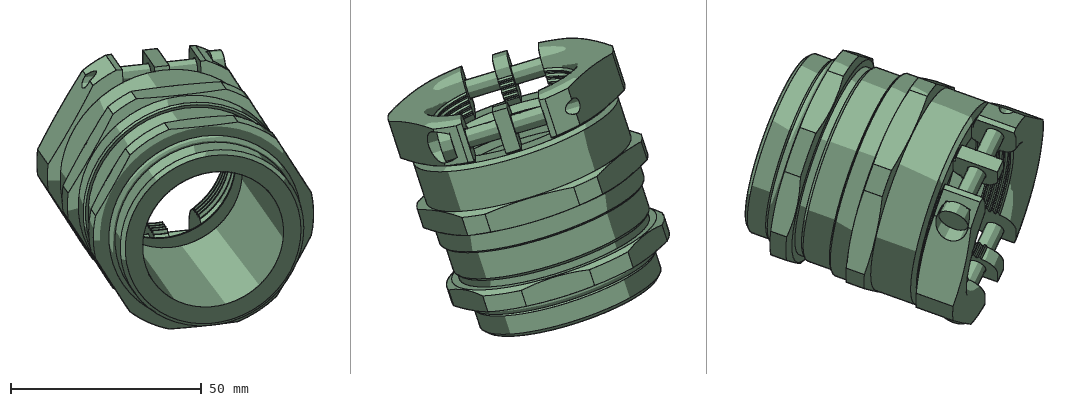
import cadquery as cq
import math


across_flats = 57.0
turned_corner_d = 62.0
nipple_corner_d = 60.0
hex_face_d = 56.5
clamp_back_face_d = 54.9
shallow_chamfer = 15
steep_chamfer = 30

clamp_length = 12.15
slot_depth = 12.7
cap_hex_start = 25.2
cap_hex_end = 31.85
cap_end = 37.2

cap_neck_d = 52.5
collar_d = 56.5
collar_front_chamfer = 1.1
collar_end_chamfer = 0.5

mouth_d = 47.8
mouth_radius = 4.65
tooth_root_d = 39.75
tooth_tip_d = 38.0
tooth_count = 4
tooth_pitch = 1.55
tooth_flat = 0.4
teeth_start = mouth_radius
funnel_d = 42.1
lip_d = 38.5
lip_start = 14.55
lip_end = 15.05

slot_width = 21.25
fin_width = 4.0

nipple_start = 21.65
nipple_bore_d = 38.4
body_d = 54.05
relief_start = 45.7
relief_d = 52.5
nipple_hex_start = 47.6
nipple_hex_end = 53.6
ring_groove_d = 47.8
thread_d = 50.0
thread_start = 56.4
thread_end_chamfer = 1.05
overall_length = 62.7

ring_outer_d = 52.3
ring_section_d = (ring_outer_d - ring_groove_d) / 2

screw_x = 6.0
screw_z = 24.3
shank_d = 5.0
shank_end_y = -14.4
head_d = 8.3
head_seat_y = 14.6
head_end_y = 17.9
head_pocket_d = 8.9
lug_hole_d = 5.5
fin_hole_d = 5.3
exit_hole_d = 4.15


def revolve_about_x(profile):
    """Revolve a closed XY profile, drawn as (X, radius), a full turn about X."""
    return profile.close().revolve(360, (0, 0, 0), (1, 0, 0))


def cylinder_x(diameter, start, end):
    return cq.Workplane("YZ", origin=(start, 0, 0)).circle(diameter / 2).extrude(end - start)


def cylinder_y(diameter, z, start, end):
    """Cylinder on a clamp screw axis, from Y = start up to Y = end."""
    plane = cq.Plane(origin=(screw_x, start, z), xDir=(1, 0, 0), normal=(0, 1, 0))
    return cq.Workplane(plane).circle(diameter / 2).extrude(end - start)


def turned_hexagon(start, end, corner_d, front_angle, back_face_d=hex_face_d):
    """Hexagonal prism with turned corners and a conical chamfer at each end."""
    corner_r = corner_d / 2
    front_face_r = hex_face_d / 2
    back_face_r = back_face_d / 2
    front_run = (corner_r - front_face_r) * math.tan(math.radians(front_angle))
    back_run = (corner_r - back_face_r) * math.tan(math.radians(shallow_chamfer))
    vertex_d = across_flats / math.cos(math.pi / 6)
    prism = cq.Workplane("YZ", origin=(start, 0, 0)).polygon(6, vertex_d).extrude(end - start)
    envelope = revolve_about_x(
        cq.Workplane("XY")
        .moveTo(start, 0)
        .lineTo(start, front_face_r)
        .lineTo(start + front_run, corner_r)
        .lineTo(end - back_run, corner_r)
        .lineTo(end, back_face_r)
        .lineTo(end, 0)
    )
    return prism.intersect(envelope)


def cap_outside():
    collar = revolve_about_x(
        cq.Workplane("XY")
        .moveTo(slot_depth, 0)
        .lineTo(slot_depth, collar_d / 2 - collar_front_chamfer)
        .lineTo(slot_depth + collar_front_chamfer, collar_d / 2)
        .lineTo(cap_end - collar_end_chamfer, collar_d / 2)
        .lineTo(cap_end, collar_d / 2 - collar_end_chamfer)
        .lineTo(cap_end, 0)
    )
    clamp_hex = turned_hexagon(0, clamp_length, turned_corner_d, shallow_chamfer, clamp_back_face_d)
    cap_hex = turned_hexagon(cap_hex_start, cap_hex_end, turned_corner_d, shallow_chamfer)
    neck = cylinder_x(cap_neck_d, clamp_length, slot_depth)
    return clamp_hex.union(neck).union(collar).union(cap_hex)


def cap_bore():
    """Rounded mouth, gripping teeth, funnel, lip and the seat of the nipple."""
    profile = (
        cq.Workplane("XY")
        .moveTo(0, 0)
        .lineTo(0, mouth_d / 2)
        .radiusArc((teeth_start, tooth_root_d / 2), -mouth_radius)
    )
    flank_run = tooth_pitch / 2 - tooth_flat
    for index in range(tooth_count):
        tip_start = teeth_start + index * tooth_pitch + flank_run
        tip_end = tip_start + tooth_flat
        profile = (
            profile
            .lineTo(tip_start, tooth_tip_d / 2)
            .lineTo(tip_end, tooth_tip_d / 2)
            .lineTo(tip_end + flank_run, tooth_root_d / 2)
            .lineTo(tip_end + flank_run + tooth_flat, tooth_root_d / 2)
        )
    profile = (
        profile
        .lineTo(slot_depth, funnel_d / 2)
        .lineTo(lip_start, lip_d / 2)
        .lineTo(lip_end, lip_d / 2)
        .lineTo(lip_end, body_d / 2)
        .lineTo(cap_end, body_d / 2)
        .lineTo(cap_end, 0)
    )
    return revolve_about_x(profile)


def clamp_slots():
    """Four slots, two at the top and two at the bottom, each pair leaving a fin at Y = 0."""
    width = (slot_width - fin_width) / 2
    offset = (slot_width + fin_width) / 4
    cutter = cq.Workplane("XY").box(slot_depth, width, across_flats, centered=(False, True, True))
    return cutter.translate((0, offset, 0)).union(cutter.translate((0, -offset, 0)))


def screw_holes(z):
    """Stepped hole of one clamp screw through both lugs and the fin."""
    reach = turned_corner_d / 2
    exit_hole = cylinder_y(exit_hole_d, z, -reach, shank_end_y)
    shank_hole = cylinder_y(shank_d, z, shank_end_y, -slot_width / 2)
    fin_hole = cylinder_y(fin_hole_d, z, -slot_width / 2, fin_width / 2)
    lug_hole = cylinder_y(lug_hole_d, z, fin_width / 2, head_seat_y)
    head_pocket = cylinder_y(head_pocket_d, z, head_seat_y, reach)
    return exit_hole.union(shank_hole).union(fin_hole).union(lug_hole).union(head_pocket)


def make_cap():
    cap = cap_outside().cut(cap_bore()).cut(clamp_slots())
    for z in (screw_z, -screw_z):
        cap = cap.cut(screw_holes(z))
    return cap


def make_nipple():
    body_chamfer = (body_d - relief_d) / 2
    thread_start_chamfer = (thread_d - ring_groove_d) / 2
    turned = revolve_about_x(
        cq.Workplane("XY")
        .moveTo(nipple_start, 0)
        .lineTo(nipple_start, body_d / 2)
        .lineTo(relief_start - body_chamfer, body_d / 2)
        .lineTo(relief_start, relief_d / 2)
        .lineTo(nipple_hex_end, relief_d / 2)
        .lineTo(nipple_hex_end, ring_groove_d / 2)
        .lineTo(thread_start - thread_start_chamfer, ring_groove_d / 2)
        .lineTo(thread_start, thread_d / 2)
        .lineTo(overall_length - thread_end_chamfer, thread_d / 2)
        .lineTo(overall_length, thread_d / 2 - thread_end_chamfer)
        .lineTo(overall_length, 0)
    )
    hexagon = turned_hexagon(nipple_hex_start, nipple_hex_end, nipple_corner_d, steep_chamfer)
    bore = cylinder_x(nipple_bore_d, nipple_start, overall_length)
    return turned.union(hexagon).cut(bore)


def make_o_ring():
    centre_x = nipple_hex_end + ring_section_d / 2
    centre_r = (ring_outer_d - ring_section_d) / 2
    section = cq.Workplane("XY").center(centre_x, centre_r).circle(ring_section_d / 2)
    return section.revolve(360, (0, -centre_r, 0), (1, -centre_r, 0))


def make_clamp_screw(z):
    shank = cylinder_y(shank_d, z, shank_end_y, head_seat_y)
    head = cylinder_y(head_d, z, head_seat_y, head_end_y)
    return shank.union(head)


cap = make_cap()
nipple = make_nipple()
o_ring = make_o_ring()
clamp_screws = [make_clamp_screw(z) for z in (screw_z, -screw_z)]

result = cq.Compound.makeCompound(
    [cap.val(), nipple.val(), o_ring.val(), *[screw.val() for screw in clamp_screws]]
)